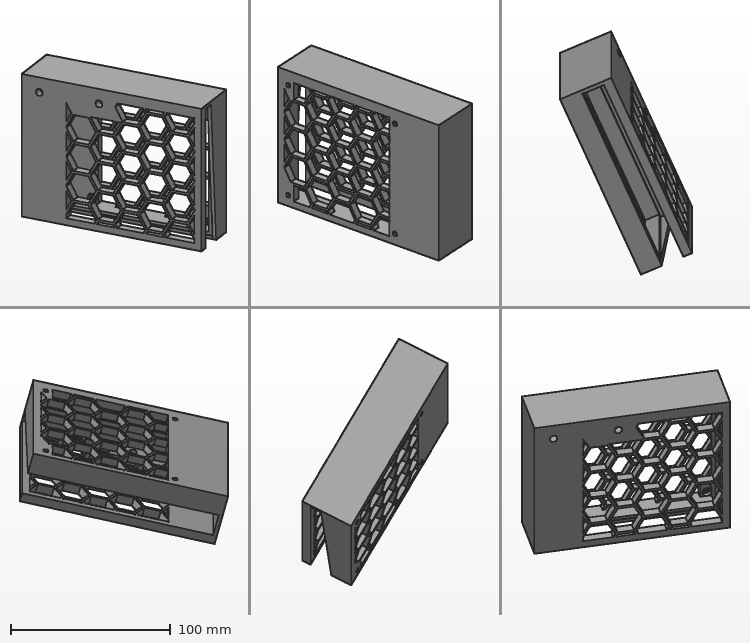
import cadquery as cq
import math

WIDTH = 125.77
DEPTH = 35.0
HEIGHT = 97.0
WALL = 5.0
LIP_WALL = WALL / 2
FRONT_WALL = 6.0
BACK_WALL = 5.2
BACK_WALL_Y = DEPTH - BACK_WALL
STEP_Y = 20.2

WINDOW_LEFT = 31.25
WINDOW_RIGHT = 120.7
WINDOW_BOTTOM = 4.8
WINDOW_TOP = 89.6
CELL_PITCH = 19.9
RIB = 1.7
FLATS_TO_CORNERS = math.cos(math.pi / 6)
COLUMN_PITCH = CELL_PITCH * FLATS_TO_CORNERS
MIDDLE_COLUMN_X = (WINDOW_LEFT + WINDOW_RIGHT) / 2
MIDDLE_CELL_Z = 47.0
COLUMNS_PER_SIDE = 3
ROWS_PER_SIDE = 3

PANEL_CELLS = (
    (-2 * COLUMN_PITCH, 2 * CELL_PITCH),
    (-COLUMN_PITCH, 1.5 * CELL_PITCH),
    (-COLUMN_PITCH, 2.5 * CELL_PITCH),
)
PANEL_BOTTOM = MIDDLE_CELL_Z + 1.5 * CELL_PITCH
PANEL_HOLE_DIAMETER = 4.7
PANEL_HOLES_X = (12.3, 54.0)
PANEL_HOLES_Z = 86.8

SCREW_DIAMETER = 3.2
HEAD_DIAMETER = 5.95
HEAD_DEPTH = 3.2
SCREW_INSET = 3.0
SCREWS_X = (WINDOW_LEFT + SCREW_INSET, WINDOW_RIGHT - SCREW_INSET)
SCREWS_Z = (WINDOW_BOTTOM + SCREW_INSET, WINDOW_TOP - SCREW_INSET)
CORNER_CELL_X = 2 * COLUMN_PITCH
CORNER_CELL_Z = 2 * CELL_PITCH
PAD_WIDTH = 7.4
SKIN = 2.0
RECESS_CELL = (3 * COLUMN_PITCH, -1.5 * CELL_PITCH)

GAP_REAR_Y = 20.7
GAP_SLOPE = 0.077


def block(x, y, z):
    """Box between the (low, high) limits along each axis."""
    return cq.Workplane("XY").box(x[1] - x[0], y[1] - y[0], z[1] - z[0], centered=False).translate(
        (x[0], y[0], z[0])
    )


def rod(x, z, diameter, y):
    """Round bar along Y between the (low, high) limits y."""
    return cq.Workplane("XZ", origin=(x, y[0], z)).circle(diameter / 2).extrude(y[0] - y[1])


def hollow():
    """Inside of the box; behind the step its right and bottom sides are flush with the window."""
    wide = block((LIP_WALL, WIDTH - LIP_WALL), (FRONT_WALL, STEP_Y), (LIP_WALL, HEIGHT - LIP_WALL))
    narrow = block((WALL, WINDOW_RIGHT), (FRONT_WALL, BACK_WALL_Y), (WINDOW_BOTTOM, HEIGHT - WALL))
    return wide.union(narrow)


def window(y):
    return block((WINDOW_LEFT, WINDOW_RIGHT), y, (WINDOW_BOTTOM, WINDOW_TOP))


def cells(centres, size, y):
    """Hexagonal prisms, size across flats, at (x, z) centres measured from the middle cell."""
    return (
        cq.Workplane("XZ", origin=(MIDDLE_COLUMN_X, y[0], MIDDLE_CELL_Z))
        .pushPoints(centres)
        .polygon(6, size / FLATS_TO_CORNERS)
        .extrude(y[0] - y[1])
    )


def honeycomb(y):
    """Hexagonal cells clipped by the window, between the (low, high) limits y."""
    centres = []
    for column in range(-COLUMNS_PER_SIDE, COLUMNS_PER_SIDE + 1):
        shift = CELL_PITCH / 2 if column % 2 else 0
        for row in range(-ROWS_PER_SIDE, ROWS_PER_SIDE + 1):
            centres.append((column * COLUMN_PITCH, row * CELL_PITCH + shift))
    return cells(centres, CELL_PITCH - RIB, y).intersect(window(y))


def square_corners(y):
    """Blocks that square off the corner cells next to the three screws outside the panel."""
    low = (WINDOW_BOTTOM, MIDDLE_CELL_Z - CORNER_CELL_Z)
    high = (MIDDLE_CELL_Z + CORNER_CELL_Z, WINDOW_TOP)
    left = (WINDOW_LEFT, SCREWS_X[0])
    right = (SCREWS_X[1], WINDOW_RIGHT)
    return block(left, y, low).union(block(right, y, low)).union(block(right, y, high))


def front_openings():
    """Honeycomb without the control panel, and the round holes in the panel."""
    y = (0, FRONT_WALL)
    panel = cells(PANEL_CELLS, CELL_PITCH, y).intersect(block((0, WIDTH), y, (PANEL_BOTTOM, HEIGHT)))
    openings = honeycomb(y).cut(panel)
    openings = openings.union(square_corners(y))
    for x in PANEL_HOLES_X:
        openings = openings.union(rod(x, PANEL_HOLES_Z, PANEL_HOLE_DIAMETER, y))
    return openings


def back_openings():
    """Honeycomb without the closed margins, and the counterbored screw holes."""
    y = (BACK_WALL_Y, DEPTH)
    skin = (DEPTH - SKIN, DEPTH)
    height = (WINDOW_BOTTOM, WINDOW_TOP)
    right_margin = block((WINDOW_RIGHT - PAD_WIDTH, WINDOW_RIGHT), y, height)
    corners = [(CORNER_CELL_X, -CORNER_CELL_Z), (CORNER_CELL_X, CORNER_CELL_Z)]
    corner_pads = cells(corners, CELL_PITCH, y).intersect(right_margin)
    recess_floor = cells([RECESS_CELL], CELL_PITCH, skin)
    left_margin = block((WINDOW_LEFT, WINDOW_LEFT + PAD_WIDTH), y, height)
    openings = honeycomb(y).cut(corner_pads).cut(recess_floor).cut(left_margin)
    head = (BACK_WALL_Y, BACK_WALL_Y + HEAD_DEPTH)
    for x in SCREWS_X:
        for z in SCREWS_Z:
            openings = openings.union(rod(x, z, SCREW_DIAMETER, y)).union(rod(x, z, HEAD_DIAMETER, head))
    return openings


def side_gap():
    """Gap through the bottom wall and the right wall; its rear edge slopes on the right wall."""
    gap_right = WIDTH - LIP_WALL
    gap_top = HEIGHT - LIP_WALL
    bottom = block((LIP_WALL, gap_right), (FRONT_WALL, GAP_REAR_Y), (0, LIP_WALL))
    right = (
        cq.Workplane("YZ", origin=(gap_right, 0, 0))
        .moveTo(FRONT_WALL, 0)
        .lineTo(GAP_REAR_Y, 0)
        .lineTo(GAP_REAR_Y - GAP_SLOPE * gap_top, gap_top)
        .lineTo(FRONT_WALL, gap_top)
        .close()
        .extrude(LIP_WALL)
    )
    return bottom.union(right)


case = block((0, WIDTH), (0, DEPTH), (0, HEIGHT))
result = case.cut(hollow()).cut(front_openings()).cut(back_openings()).cut(side_gap())